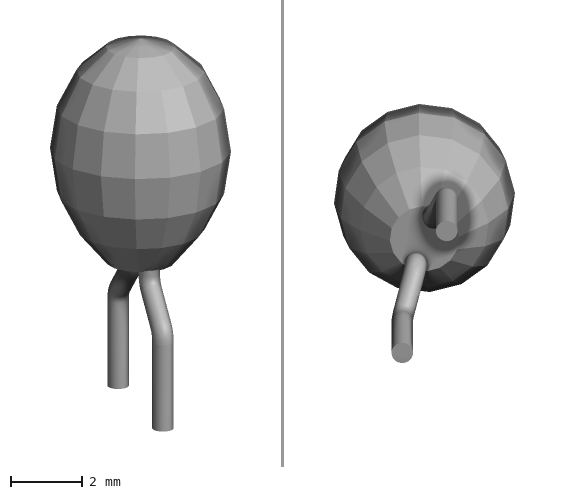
import cadquery as cq
import math

TOTAL_HEIGHT = 10.92
BEAD_DIAMETER = 5.08
BEAD_HALF_HEIGHT = 3.3

SIDES = 16
FACET_ANGLE = 2 * math.pi / SIDES
RINGS = SIDES // 2 - 1

LEAD_DIAMETER = 0.6
ROOT_SPACING = 1.51
FOOT_SPACING = 3.84
BEND_RADIUS = 0.6
BEND_ANGLE = math.radians(46)
NECK_LENGTH = 0.13
SOCKET_DEPTH = 0.04

BEAD_RADIUS = BEAD_DIAMETER / 2
EQUATOR_Z = TOTAL_HEIGHT - BEAD_HALF_HEIGHT
BEAD_BOTTOM_Z = EQUATOR_Z - BEAD_HALF_HEIGHT


def bead_ring(radius, z):
    """Corners of one horizontal polygon of the bead, with a corner on +X."""
    return [
        cq.Vector(radius * math.cos(i * FACET_ANGLE), radius * math.sin(i * FACET_ANGLE), z)
        for i in range(SIDES)
    ]


def flat_face(corners):
    """Planar face bounded by the given corners."""
    return cq.Face.makeFromWires(cq.Wire.makePolygon(corners, close=True))


def make_bead():
    """Faceted ellipsoid with a pointed top, its lowest ring drawn down to a flat bottom."""
    rings = []
    for level in range(RINGS):
        latitude = (level - RINGS // 2) * FACET_ANGLE
        z = BEAD_BOTTOM_Z if level == 0 else EQUATOR_Z + BEAD_HALF_HEIGHT * math.sin(latitude)
        rings.append(bead_ring(BEAD_RADIUS * math.cos(latitude), z))

    apex = cq.Vector(0, 0, TOTAL_HEIGHT)
    faces = [flat_face(rings[0])]
    for i in range(SIDES):
        j = (i + 1) % SIDES
        for lower, upper in zip(rings, rings[1:]):
            faces.append(flat_face([lower[i], lower[j], upper[j], upper[i]]))
        faces.append(flat_face([rings[-1][i], rings[-1][j], apex]))
    return cq.Solid.makeSolid(cq.Shell.makeShell(faces))


def make_lead(side):
    """Round wire that leaves the bead downwards, slants outwards and ends vertical; side is -1 or 1."""
    root_x = ROOT_SPACING / 2
    foot_x = FOOT_SPACING / 2
    bend_out = BEND_RADIUS * (1 - math.cos(BEND_ANGLE))
    bend_drop = BEND_RADIUS * math.sin(BEND_ANGLE)
    half_bend_out = BEND_RADIUS * (1 - math.cos(BEND_ANGLE / 2))
    half_bend_drop = BEND_RADIUS * math.sin(BEND_ANGLE / 2)
    slant_out = foot_x - root_x - 2 * bend_out
    slant_drop = slant_out / math.tan(BEND_ANGLE)

    lead_top_z = BEAD_BOTTOM_Z + SOCKET_DEPTH
    upper_bend_z = BEAD_BOTTOM_Z - NECK_LENGTH
    lower_bend_z = upper_bend_z - 2 * bend_drop - slant_drop
    path = (
        cq.Workplane("XZ")
        .moveTo(side * root_x, lead_top_z)
        .lineTo(side * root_x, upper_bend_z)
        .threePointArc(
            (side * (root_x + half_bend_out), upper_bend_z - half_bend_drop),
            (side * (root_x + bend_out), upper_bend_z - bend_drop),
        )
        .lineTo(side * (foot_x - bend_out), lower_bend_z + bend_drop)
        .threePointArc(
            (side * (foot_x - half_bend_out), lower_bend_z + half_bend_drop),
            (side * foot_x, lower_bend_z),
        )
        .lineTo(side * foot_x, 0)
    )
    return (
        cq.Workplane("XY", origin=(side * root_x, 0, lead_top_z))
        .circle(LEAD_DIAMETER / 2)
        .sweep(path)
    )


leads = [make_lead(side).val() for side in (-1, 1)]

bead = cq.Workplane(make_bead())
for lead in leads:
    bead = bead.cut(cq.Workplane(lead))

result = cq.Compound.makeCompound([bead.val(), *leads])